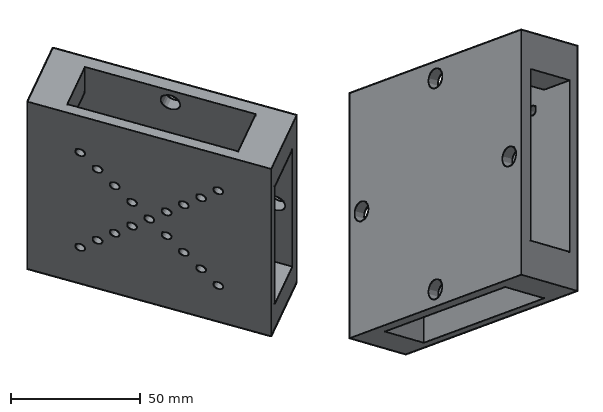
import cadquery as cq
import math

side = 100.0
front_wall = 4.0
back_wall = 5.0
cavity_depth = 20.0
depth = front_wall + cavity_depth + back_wall

window_length = 70.0

front_hole_diameter = 4.0
hole_pitch = 10.0
holes_per_arm = 4

back_hole_diameter = 8.0
back_hole_offset = 43.0

front_y = -depth / 2
cavity_front_y = front_y + front_wall
cavity_centre_y = cavity_front_y + cavity_depth / 2
cavity_back_y = cavity_front_y + cavity_depth


def window(length_x, length_z):
    """Rectangular cutter filling the depth of the cavity."""
    return cq.Workplane("XY").box(length_x, cavity_depth, length_z).translate((0, cavity_centre_y, 0))


def wall_holes(points, diameter, start_y, wall):
    """Round cutters through a wall, running along +Y from start_y."""
    plane = cq.Workplane("XZ").workplane(offset=-start_y)
    return plane.pushPoints(points).circle(diameter / 2).extrude(-wall)


def diagonal_cross_points():
    """Centre point plus evenly pitched points along four diagonal arms."""
    step = hole_pitch / math.sqrt(2)
    points = [(0, 0)]
    for i in range(1, holes_per_arm + 1):
        for sign_x in (-1, 1):
            for sign_z in (-1, 1):
                points.append((sign_x * i * step, sign_z * i * step))
    return points


back_points = [
    (-back_hole_offset, 0),
    (back_hole_offset, 0),
    (0, -back_hole_offset),
    (0, back_hole_offset),
]

body = cq.Workplane("XY").box(side, depth, side)
body = body.cut(window(side, window_length))
body = body.cut(window(window_length, side))
body = body.cut(wall_holes(diagonal_cross_points(), front_hole_diameter, front_y, front_wall))
result = body.cut(wall_holes(back_points, back_hole_diameter, cavity_back_y, back_wall))